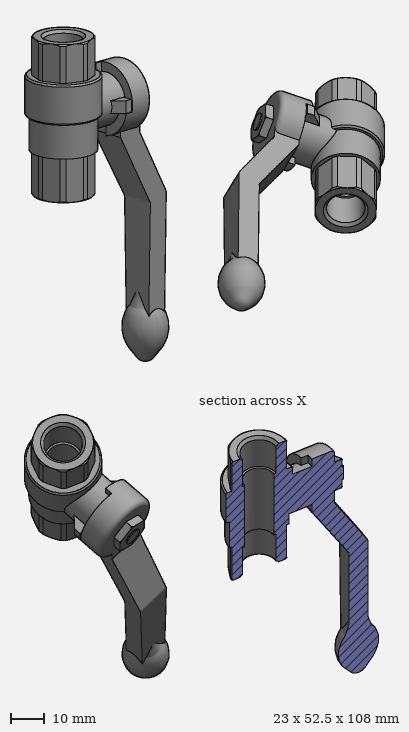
import cadquery as cq
import math


body_top = 23.0
body_bottom = -26.0
end_flats = 18.0
end_corner_dia = 18.9
end_chamfer = 0.4
collar_dia = 23.0
collar_top = 11.1
collar_bottom = -1.4
collar_chamfer = 0.5
barrel_dia = 20.5
barrel_bottom = -12.1
bore_dia = 10.0
thread_dia = 11.5
thread_depth = 11.9
thread_mouth_dia = 13.3

neck_dia = 16.0
lug_width = 4.0
lug_reach = 10.9
lug_outer_y = 17.5
lug_straight = 2.3

hub_dia = 22.0
hub_inner_y = 17.9
hub_outer_y = 25.9
hub_fillet = 1.6
skirt_depth = 2.4
stop_clearance = 0.1
nut_corners = 11.9
nut_height = 2.6
nut_chamfer = 0.3
stem_tip_dia = 5.4
stem_tip_height = 0.4

arm_upper_bend_z = -11.0
arm_lower_outer_z = -31.9
arm_lower_inner_z = -34.1
arm_bend_radius = 1.9
grip_y = 34.0
grip_thickness = 6.6
arm_half_width = 6.2
arm_taper_angle = 1.1
arm_bottom = -75.6

knob_bottom = -85.0
knob_top = -60.7
knob_neck_radius = 3.2
knob_neck_curve = 15.1
knob_seam_z = -67.6
knob_max_z = -74.3
knob_max_radius = 7.0
knob_side_curve = 10.8
knob_tip_curve = 3.2


def disc_z(diameter, bottom, top):
    return cq.Workplane("XY").workplane(offset=bottom).circle(diameter / 2).extrude(top - bottom)


def plane_y(y):
    """Work plane facing +Y; its local axes are -X and Z."""
    return cq.Workplane("XZ", origin=(0, y, 0)).transformed(rotate=(0, 180, 0))


def disc_y(diameter, inner, outer):
    return plane_y(inner).circle(diameter / 2).extrude(outer - inner)


def pipe_body():
    octagon_dia = end_flats / math.cos(math.pi / 8)
    length = body_top - body_bottom
    octagon = cq.Workplane("XY").workplane(offset=body_bottom).polygon(8, octagon_dia).extrude(length)
    turned = disc_z(end_corner_dia, body_bottom, body_top).edges().chamfer(end_chamfer)
    collar = disc_z(collar_dia, collar_bottom, collar_top).edges().chamfer(collar_chamfer)
    barrel = disc_z(barrel_dia, barrel_bottom, collar_top - collar_chamfer)
    return octagon.intersect(turned).union(collar).union(barrel)


def pipe_bore():
    bore = disc_z(bore_dia, body_bottom, body_top)
    lead = (thread_mouth_dia - thread_dia) / 2
    for end, inward in ((body_top, -1), (body_bottom, 1)):
        profile = [
            (0, end),
            (thread_mouth_dia / 2, end),
            (thread_dia / 2, end + inward * lead),
            (thread_dia / 2, end + inward * thread_depth),
            (0, end + inward * thread_depth),
        ]
        bore = bore.union(cq.Workplane("XZ").polyline(profile).close().revolve(360, (0, 0), (0, 1)))
    return bore


def stop_lugs():
    lugs = cq.Workplane("XY")
    slope_start = lug_outer_y - lug_straight
    for side in (1, -1):
        profile = [
            (0, lug_outer_y),
            (side * lug_reach, lug_outer_y),
            (side * lug_reach, slope_start),
            (0, slope_start - lug_reach),
        ]
        lugs = lugs.add(cq.Workplane("XY").polyline(profile).close().extrude(lug_width / 2, both=True))
    return lugs.combine()


def lever_hub():
    hub = disc_y(hub_dia, hub_inner_y, hub_outer_y).faces(">Y").edges().fillet(hub_fillet)
    skirt_y = hub_inner_y - skirt_depth
    stop = lug_width / 2 + stop_clearance
    ring = disc_y(hub_dia, skirt_y, hub_inner_y)
    offset = stop + hub_dia / 2
    for side in (1, -1):
        quarter = (
            cq.Workplane("XY")
            .box(hub_dia, skirt_depth, hub_dia)
            .translate((-side * offset, skirt_y + skirt_depth / 2, side * offset))
        )
        hub = hub.union(ring.intersect(quarter))
    return hub


def stem_nut():
    nut_top = hub_outer_y + nut_height
    nut = plane_y(hub_outer_y).transformed(rotate=(0, 0, 90)).polygon(6, nut_corners).extrude(nut_height)
    turned = disc_y(nut_corners, hub_outer_y, nut_top).faces(">Y").edges().chamfer(nut_chamfer)
    tip = disc_y(stem_tip_dia, hub_outer_y, nut_top + stem_tip_height)
    return nut.intersect(turned).union(tip)


def lever_arm():
    grip_inner = grip_y - grip_thickness / 2
    grip_outer = grip_y + grip_thickness / 2
    side_profile = [
        (hub_inner_y, 0),
        (hub_outer_y, 0),
        (hub_outer_y, arm_upper_bend_z),
        (grip_outer, arm_lower_outer_z),
        (grip_outer, arm_bottom),
        (grip_inner, arm_bottom),
        (grip_inner, arm_lower_inner_z),
        (hub_inner_y, arm_upper_bend_z),
    ]
    arm = cq.Workplane("YZ").polyline(side_profile).close().extrude(arm_half_width, both=True)
    for y, z in ((grip_outer, arm_lower_outer_z), (grip_inner, arm_lower_inner_z)):
        bend = cq.selectors.NearestToPointSelector((0, y, z))
        arm = arm.edges("|X").edges(bend).fillet(arm_bend_radius)
    tip_half_width = arm_half_width + arm_bottom * math.tan(math.radians(arm_taper_angle))
    front_profile = [
        (-arm_half_width, 0),
        (arm_half_width, 0),
        (tip_half_width, arm_bottom),
        (-tip_half_width, arm_bottom),
    ]
    taper = cq.Workplane("XZ").polyline(front_profile).close().extrude(-grip_outer)
    return arm.intersect(taper)


def grip_knob():
    side_center_r = knob_max_radius - knob_side_curve
    tip_center_z = knob_bottom + knob_tip_curve
    seam_r = side_center_r + math.sqrt(knob_side_curve**2 - (knob_seam_z - knob_max_z) ** 2)
    center_drop = knob_max_z - tip_center_z
    center_distance = math.hypot(side_center_r, center_drop)
    dip = math.atan2(center_drop, -side_center_r) - math.acos(
        (knob_side_curve - knob_tip_curve) / center_distance
    )
    taper_start = (
        side_center_r + knob_side_curve * math.cos(dip),
        knob_max_z - knob_side_curve * math.sin(dip),
    )
    taper_end = (knob_tip_curve * math.cos(dip), tip_center_z - knob_tip_curve * math.sin(dip))
    profile = (
        cq.Workplane("XZ", origin=(0, grip_y, 0))
        .moveTo(0, knob_top)
        .lineTo(knob_neck_radius, knob_top)
        .radiusArc((seam_r, knob_seam_z), -knob_neck_curve)
        .threePointArc((knob_max_radius, knob_max_z), taper_start)
        .lineTo(*taper_end)
        .radiusArc((0, knob_bottom), knob_tip_curve)
        .close()
    )
    return profile.revolve(360, (0, 0), (0, 1))


neck = disc_y(neck_dia, 0, hub_inner_y)
result = pipe_body().union(neck).union(stop_lugs()).cut(pipe_bore())
result = result.union(lever_hub()).union(stem_nut()).union(lever_arm()).union(grip_knob())